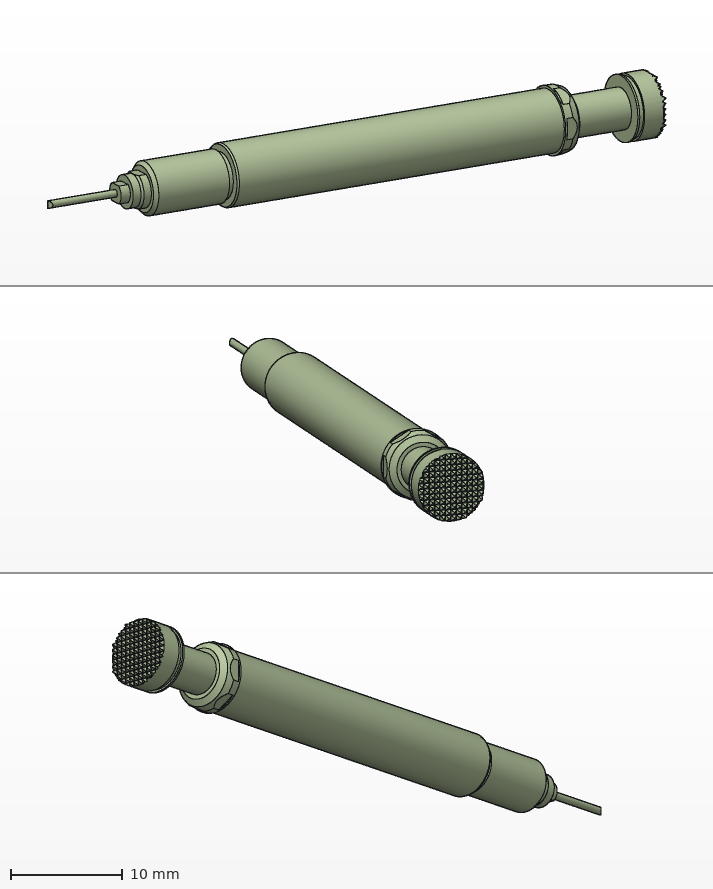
import cadquery as cq
import math

total_length = 61.8

head_radius = 3.1
head_length = 3.05
tooth_pitch = 0.51
tooth_depth = 0.4
rim_thickness = 0.2
head_groove_width = 0.5
head_groove_depth = 0.2
stem_radius = 1.95

collar_start = 8.57
collar_nose_radius = 2.35
collar_shoulder_radius = 2.95
collar_shoulder_length = 0.4
collar_radius = 3.2
collar_taper_length = 0.7
collar_end = 10.5
collar_flange_thickness = 0.2
collar_across_flats = 6.08
hex_sides = 6

barrel_radius = 2.95
barrel_end = 44.0
barrel_chamfer_length = 0.2
barrel_chamfer_depth = 0.1
neck_radius = 2.2
sleeve_start = 44.55
sleeve_radius = 2.5
sleeve_end = 52.15
sleeve_chamfer = 0.35

tail_radius = 1.76
tail_across_flats = 3.14
tail_end = 53.1
tail_chamfer = 0.2
spacer_radius = tail_radius - tail_chamfer
spacer_end = 53.9
tip_holder_radius = 1.05
tip_holder_across_flats = 1.68
tip_holder_end = 54.85
needle_radius = 0.35
chisel_length = 0.35


def make_turned_body():
    """Revolve the full stepped profile about the Y axis."""
    groove_end = head_length - rim_thickness
    groove_start = groove_end - head_groove_width
    groove_radius = head_radius - head_groove_depth
    shoulder_end = collar_start + collar_shoulder_length
    profile = [
        (0, 0),
        (head_radius, 0),
        (head_radius, groove_start),
        (groove_radius, groove_start),
        (groove_radius, groove_end),
        (head_radius, groove_end),
        (head_radius, head_length),
        (stem_radius, head_length),
        (stem_radius, collar_start),
        (collar_nose_radius, collar_start),
        (collar_shoulder_radius, shoulder_end),
        (collar_radius, shoulder_end + collar_taper_length),
        (collar_radius, collar_end),
        (barrel_radius, collar_end),
        (barrel_radius, barrel_end - barrel_chamfer_length),
        (barrel_radius - barrel_chamfer_depth, barrel_end),
        (neck_radius, barrel_end),
        (neck_radius, sleeve_start),
        (sleeve_radius, sleeve_start),
        (sleeve_radius, sleeve_end - sleeve_chamfer),
        (sleeve_radius - sleeve_chamfer, sleeve_end),
        (tail_radius, sleeve_end),
        (tail_radius, tail_end - tail_chamfer),
        (spacer_radius, tail_end),
        (spacer_radius, spacer_end),
        (tip_holder_radius, spacer_end),
        (tip_holder_radius, tip_holder_end),
        (needle_radius, tip_holder_end),
        (needle_radius, total_length),
        (0, total_length),
    ]
    points = [(radius, -distance) for radius, distance in profile]
    return cq.Workplane("XY").polyline(points).close().revolve(360, (0, 0, 0), (0, 1, 0))


def make_axial_cylinder(radius, start, end):
    """Cylinder along the axis between two distances from the head end."""
    return cq.Workplane("XZ", origin=(0, -start, 0)).circle(radius).extrude(end - start)


def make_collar_hex_waste():
    """Material outside the collar hexagon, whose flats face +X and -X."""
    start = collar_start
    end = collar_end - collar_flange_thickness
    across_corners = collar_across_flats / math.cos(math.pi / hex_sides)
    hexagon = (
        cq.Workplane("XZ", origin=(0, -start, 0))
        .polygon(hex_sides, across_corners)
        .extrude(end - start)
        .rotate((0, 0, 0), (0, 1, 0), 180 / hex_sides)
    )
    return make_axial_cylinder(2 * collar_radius, start, end).cut(hexagon)


def make_flats_waste(radius, across_flats, start, end):
    """Material outside a pair of flats facing +Z and -Z."""
    keeper = (
        cq.Workplane("XZ", origin=(0, -start, 0))
        .rect(4 * radius, across_flats)
        .extrude(end - start)
    )
    return make_axial_cylinder(2 * radius, start, end).cut(keeper)


def make_tooth_grooves():
    """Crossed V grooves that leave a grid of pyramid teeth on the head end."""
    grooves = cq.Workplane("XY")
    steps_each_side = math.floor(head_radius / tooth_pitch)
    v_groove = (
        cq.Workplane("XY", origin=(0, 0, -2 * head_radius))
        .polyline([(-tooth_pitch / 2, 0), (tooth_pitch / 2, 0), (0, -tooth_depth)])
        .close()
        .extrude(4 * head_radius)
    )
    for step in range(-steps_each_side, steps_each_side + 1):
        along_z = v_groove.translate((step * tooth_pitch, 0, 0))
        along_x = along_z.rotate((0, 0, 0), (0, 1, 0), 90)
        grooves = grooves.add(along_z).add(along_x)
    return grooves


def make_chisel_waste():
    """Two wedges that sharpen the needle to an edge parallel to Z."""
    wedge = (
        cq.Workplane("XY")
        .polyline([
            (0, -total_length),
            (needle_radius, chisel_length - total_length),
            (2 * needle_radius, chisel_length - total_length),
            (2 * needle_radius, -total_length),
        ])
        .close()
        .extrude(2 * needle_radius, both=True)
    )
    return wedge.add(wedge.mirror("YZ"))


def cut_each(body, tools):
    """Cut every tool solid from the body."""
    for tool in tools.vals():
        body = body.cut(cq.Workplane(tool))
    return body


result = make_turned_body()
result = result.cut(make_collar_hex_waste())
result = result.cut(make_flats_waste(tail_radius, tail_across_flats, sleeve_end, tail_end))
result = result.cut(
    make_flats_waste(tip_holder_radius, tip_holder_across_flats, spacer_end, tip_holder_end)
)
result = cut_each(result, make_tooth_grooves())
result = cut_each(result, make_chisel_waste())